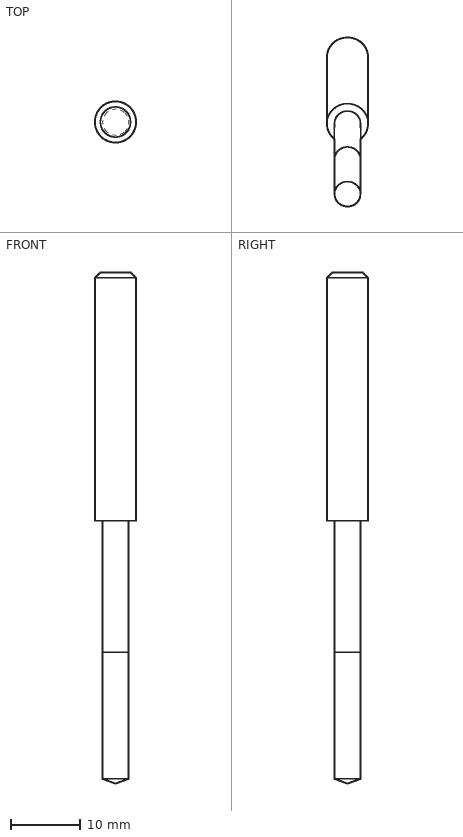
import cadquery as cq
import math

total_length = 74.0

shank_diameter = 6.0
shank_length = 36.0
shank_chamfer = 0.8
neck_diameter = 3.8

head_diameter = 3.8
head_length = 19.0
point_angle = 140.0

shank_bottom = total_length - shank_length
neck_length = shank_bottom - head_length
head_radius = head_diameter / 2
point_height = head_radius / math.tan(math.radians(point_angle / 2))


def make_holder():
    """Chamfered shank with the thinner neck below it."""
    shank = (
        cq.Workplane("XY", origin=(0, 0, shank_bottom))
        .circle(shank_diameter / 2)
        .extrude(shank_length)
        .faces(">Z")
        .chamfer(shank_chamfer)
    )
    neck = (
        cq.Workplane("XY", origin=(0, 0, head_length))
        .circle(neck_diameter / 2)
        .extrude(neck_length)
    )
    return shank.union(neck)


def make_cutting_head():
    """Cylindrical cutting head with a conical point at the origin."""
    return (
        cq.Workplane("XZ")
        .moveTo(0, 0)
        .lineTo(head_radius, point_height)
        .lineTo(head_radius, head_length)
        .lineTo(0, head_length)
        .close()
        .revolve(360, (0, 0, 0), (0, 1, 0))
    )


holder = make_holder()
cutting_head = make_cutting_head()

result = cq.Compound.makeCompound([holder.val(), cutting_head.val()])